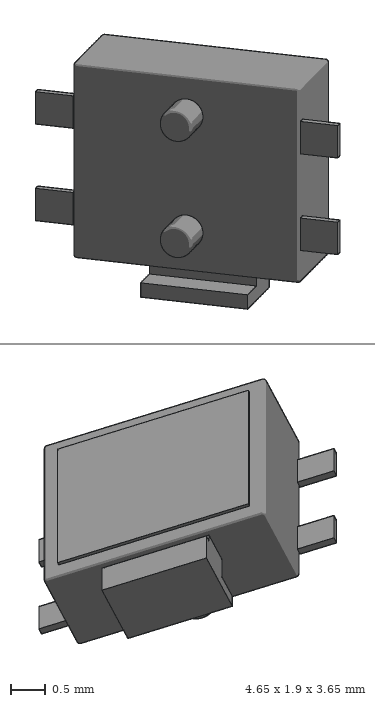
import cadquery as cq

overall_width = 4.65

housing_width = 3.495
housing_depth = 1.355
housing_height = 3.03
edge_radius = 0.05

peg_diameter = 0.5
peg_length = 0.5
peg_spacing = 1.8

cover_width = 3.005
cover_height = 2.54
cover_thickness = 0.045

lead_length = (overall_width - housing_width) / 2
lead_height = 0.5
lead_thickness = 0.105
lead_spacing = 1.495

slider_width = 1.645
slider_drop = 0.62
neck_height = 0.125
neck_setback = 0.098
slider_front_setback = 0.6
foot_reach = 1.005
foot_thickness = 0.225


def make_housing():
    """Rounded box with two round-tipped locating pegs."""
    body = (
        cq.Workplane("XY")
        .box(housing_width, housing_depth, housing_height)
        .translate((0, housing_depth / 2, 0))
        .edges()
        .fillet(edge_radius)
    )
    pegs = (
        cq.Workplane("XZ")
        .pushPoints([(0, -peg_spacing / 2), (0, peg_spacing / 2)])
        .circle(peg_diameter / 2)
        .extrude(peg_length)
        .faces("<Y")
        .edges()
        .fillet(edge_radius)
    )
    return body.union(pegs)


def make_cover():
    """Thin plate lying on the back face of the housing."""
    return (
        cq.Workplane("XY")
        .box(cover_width, cover_thickness, cover_height)
        .translate((0, housing_depth + cover_thickness / 2, 0))
    )


def make_lead(side, level):
    """Flat lead against one side: side is -1 or +1 along X, level is -1 or +1 along Z."""
    lead_x = side * (housing_width + lead_length) / 2
    lead_z = level * lead_spacing / 2
    return (
        cq.Workplane("XY")
        .box(lead_length, lead_thickness, lead_height)
        .translate((lead_x, lead_thickness / 2, lead_z))
    )


def make_slider():
    """Stepped Y-Z profile extruded symmetrically along X."""
    top_z = -housing_height / 2
    bottom_z = top_z - slider_drop
    block_top_z = top_z - neck_height
    foot_top_z = bottom_z + foot_thickness
    back_y = housing_depth
    neck_back_y = back_y - neck_setback
    front_y = back_y - slider_front_setback
    foot_y = back_y - foot_reach
    return (
        cq.Workplane("YZ")
        .moveTo(neck_back_y, top_z)
        .lineTo(neck_back_y, block_top_z)
        .lineTo(back_y, block_top_z)
        .lineTo(back_y, bottom_z)
        .lineTo(foot_y, bottom_z)
        .lineTo(foot_y, foot_top_z)
        .lineTo(front_y, foot_top_z)
        .lineTo(front_y, top_z)
        .close()
        .extrude(slider_width / 2, both=True)
    )


housing = make_housing()
cover = make_cover()
slider = make_slider()
leads = [make_lead(side, level) for side in (-1, 1) for level in (-1, 1)]

result = cq.Compound.makeCompound(
    [body.solids().val() for body in [housing, cover, slider, *leads]]
)